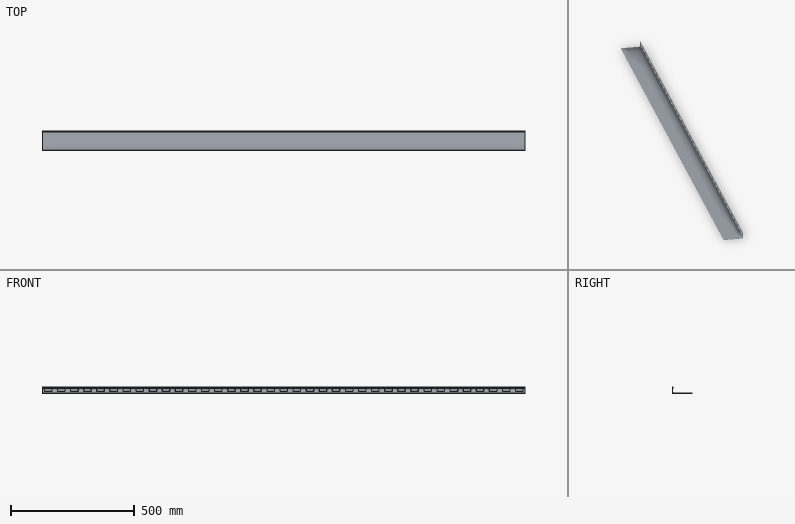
import cadquery as cq
length = 1956.0
width = 80.0
height = 25.9

sheet_thickness = 1.5
inner_bend_radius = 2.5
outer_bend_radius = inner_bend_radius + sheet_thickness

edge_strip_width = 4.5
edge_strip_rise = 0.3
edge_thickness = sheet_thickness + edge_strip_rise

slot_count = 37
slot_pitch = 53.0
slot_length = 29.5
slot_height = 7.8
slot_centre_z = 14.2


def bent_sheet():
    """L-shaped sheet: a wide base with a flange standing on its -Y edge."""
    profile = (
        cq.Workplane("YZ")
        .moveTo(width, 0)
        .lineTo(outer_bend_radius, 0)
        .radiusArc((0, outer_bend_radius), outer_bend_radius)
        .lineTo(0, height)
        .lineTo(edge_thickness, height)
        .lineTo(edge_thickness, height - edge_strip_width)
        .lineTo(sheet_thickness, height - edge_strip_width)
        .lineTo(sheet_thickness, outer_bend_radius)
        .radiusArc((outer_bend_radius, sheet_thickness), -inner_bend_radius)
        .lineTo(width - edge_strip_width, sheet_thickness)
        .lineTo(width - edge_strip_width, edge_thickness)
        .lineTo(width, edge_thickness)
        .close()
    )
    return profile.extrude(length)


def flange_slots():
    """Cutters for the rectangular slots, centred along the flange."""
    return (
        cq.Workplane("XZ", origin=(length / 2, 0, slot_centre_z))
        .rarray(slot_pitch, 1, slot_count, 1)
        .rect(slot_length, slot_height)
        .extrude(-sheet_thickness)
    )


result = bent_sheet().cut(flange_slots())